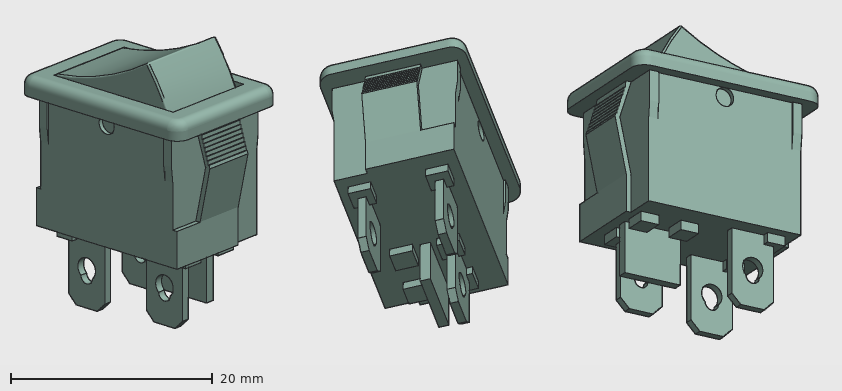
import cadquery as cq

BODY_BOTTOM = 8.0
LEDGE_TOP = 12.0
BEZEL_BOTTOM = 22.0
BEZEL_HEIGHT = 2.0
BEZEL_TOP = BEZEL_BOTTOM + BEZEL_HEIGHT

BEZEL_LENGTH = 21.2
BEZEL_WIDTH = 15.1
BEZEL_CORNER_RADIUS = 1.5
BEZEL_EDGE_RADIUS = 1.02
OPENING_LENGTH = 15.8
OPENING_WIDTH = 10.55
OPENING_DEPTH = 5.0

BODY_LENGTH = 17.48
BODY_WIDTH = 12.58
LEDGE_PROJECTION = 0.55
LEDGE_BACK_Y = 2.85
RIB_LENGTH = 1.05
RIB_HEIGHT = 0.2
RIB_TAPER_TOP = 18.72
RIB_TAPER_BOTTOM = 17.03

CLIP_WIDTH = 2 * LEDGE_BACK_Y
CLIP_THICKNESS = 0.55
CLIP_FOOT_X = BODY_LENGTH / 2 + LEDGE_PROJECTION
CLIP_BEND_X = BEZEL_LENGTH / 2
CLIP_BEND_Z = 18.0
TOOTH_COUNT = 8
TOOTH_PITCH = 0.42
TOOTH_RELIEF = 0.03
TOOTHLESS_TOP = 0.28

ROCKER_WIDTH = 10.2
ROCKER_LOW_X = -7.73
ROCKER_HIGH_X = 7.78
ROCKER_LOW_Z = 24.05
ROCKER_SKIRT_Z = 21.7
PEAK_X = 4.35
PEAK_Z = 28.25
THUMB_RADIUS = 28.2
NOSE_RADIUS = 22.55
ROCKER_EDGE_RADIUS = 0.2
PIVOT_DIAMETER = 2.0
PIVOT_Z = BEZEL_BOTTOM - PIVOT_DIAMETER / 2
PIVOT_RECESS = 0.5

TAB_WIDTH = 4.8
TAB_THICKNESS = 0.87
TAB_CHAMFER = 1.02
LEFT_TAB_X = -4.3
RIGHT_TAB_X = 4.68
OUTER_TAB_Y = 4.0
INNER_TAB_Y = 2.5
EYE_RADIUS = 1.15
EYE_Z = 4.17
EYE_SLOT_RADIUS = 0.75
EYE_SLOT_Z = 3.33
BLADE_X = 4.9
BLADE_WIDTH = 6.37
BLADE_THICKNESS = 1.05
BLADE_BOTTOM = 2.5

FOOT_LENGTH = 2.03
FOOT_WIDTH = 2.35
FOOT_HEIGHT = 1.02
LEFT_FOOT_X = -6.57
RIGHT_FEET_X = (2.45, 7.02)
OUTER_FOOT_Y = 4.0
INNER_FOOT_Y = 2.43


def block(length, width, bottom, top, x=0.0, y=0.0):
    """Upright box centred on (x, y), from the height bottom to the height top."""
    base = cq.Workplane("XY", origin=(x, y, bottom))
    return base.rect(length, width).extrude(top - bottom)


def cross_bar(diameter, length, z):
    """Cylinder along Y, centred on the origin in plan."""
    return cq.Workplane("XZ", origin=(0, 0, z)).circle(diameter / 2).extrude(length / 2, both=True)


def both_ends(solid):
    """The solid together with its mirror image on the opposite X end."""
    return solid.union(solid.mirror("YZ"))


def make_bezel():
    bezel = block(BEZEL_LENGTH, BEZEL_WIDTH, BEZEL_BOTTOM, BEZEL_TOP)
    bezel = bezel.edges("|Z").fillet(BEZEL_CORNER_RADIUS)
    return bezel.faces(">Z").edges().fillet(BEZEL_EDGE_RADIUS)


def make_corner_ribs():
    """Shallow ribs at the four upper corners, tapering into the long walls."""
    wall_y = BODY_WIDTH / 2
    rib = (
        cq.Workplane("YZ", origin=(-BODY_LENGTH / 2, 0, 0))
        .moveTo(0, BEZEL_BOTTOM)
        .lineTo(wall_y + RIB_HEIGHT, BEZEL_BOTTOM)
        .lineTo(wall_y + RIB_HEIGHT, RIB_TAPER_TOP)
        .lineTo(wall_y, RIB_TAPER_BOTTOM)
        .lineTo(0, RIB_TAPER_BOTTOM)
        .close()
        .extrude(RIB_LENGTH)
    )
    return both_ends(rib.union(rib.mirror("XZ")))


def make_housing():
    body = block(BODY_LENGTH, BODY_WIDTH, BODY_BOTTOM, BEZEL_BOTTOM)
    front_y = -BODY_WIDTH / 2
    ledges = block(
        2 * CLIP_FOOT_X,
        LEDGE_BACK_Y - front_y,
        BODY_BOTTOM,
        LEDGE_TOP,
        y=(LEDGE_BACK_Y + front_y) / 2,
    )
    opening = block(OPENING_LENGTH, OPENING_WIDTH, BEZEL_TOP - OPENING_DEPTH, BEZEL_TOP)
    pivot_hole = cross_bar(PIVOT_DIAMETER, BODY_WIDTH, PIVOT_Z)
    walls = body.cut(pivot_hole).union(ledges).union(make_corner_ribs())
    return walls.union(make_bezel()).cut(opening)


def make_clip():
    """Bent spring clip at the -X end, with saw teeth cut into its upper outer face."""
    slope = (CLIP_BEND_X - CLIP_FOOT_X) / (BEZEL_BOTTOM - CLIP_BEND_Z)
    top_x = -CLIP_FOOT_X - slope * TOOTHLESS_TOP
    outline = (
        cq.Workplane("XZ")
        .moveTo(CLIP_THICKNESS - CLIP_FOOT_X, BEZEL_BOTTOM)
        .lineTo(-CLIP_FOOT_X, BEZEL_BOTTOM)
        .lineTo(top_x, BEZEL_BOTTOM - TOOTHLESS_TOP)
    )
    for _ in range(TOOTH_COUNT):
        outline = outline.line(-TOOTH_RELIEF, -TOOTH_PITCH)
        outline = outline.line(TOOTH_RELIEF - slope * TOOTH_PITCH, 0)
    return (
        outline.lineTo(-CLIP_BEND_X, CLIP_BEND_Z)
        .lineTo(-CLIP_FOOT_X, LEDGE_TOP)
        .lineTo(CLIP_THICKNESS - CLIP_FOOT_X, LEDGE_TOP)
        .lineTo(CLIP_THICKNESS - CLIP_BEND_X, CLIP_BEND_Z)
        .close()
        .extrude(CLIP_WIDTH / 2, both=True)
    )


def make_rocker():
    """Tilted rocker with a hollow thumb face and a bulging nose, on its pivot pin."""
    rocker_bottom = PIVOT_Z - PIVOT_DIAMETER / 2
    rocker = (
        cq.Workplane("XZ")
        .moveTo(ROCKER_LOW_X, ROCKER_LOW_Z)
        .radiusArc((PEAK_X, PEAK_Z), -THUMB_RADIUS)
        .radiusArc((ROCKER_HIGH_X, ROCKER_SKIRT_Z), NOSE_RADIUS)
        .lineTo(ROCKER_HIGH_X, rocker_bottom)
        .lineTo(ROCKER_LOW_X, rocker_bottom)
        .close()
        .extrude(ROCKER_WIDTH / 2, both=True)
    )
    rocker = rocker.edges("%CIRCLE or (|Y and >Z)").fillet(ROCKER_EDGE_RADIUS)
    pin = cross_bar(PIVOT_DIAMETER, BODY_WIDTH - 2 * PIVOT_RECESS, PIVOT_Z)
    return rocker.union(pin)


def make_tab(x, y):
    """Flat terminal with a chamfered tip and a keyhole eye."""
    tab = block(TAB_WIDTH, TAB_THICKNESS, 0, BODY_BOTTOM, x, y)
    tab = tab.faces("<Z").edges("|Y").chamfer(TAB_CHAMFER)
    for radius, height in ((EYE_RADIUS, EYE_Z), (EYE_SLOT_RADIUS, EYE_SLOT_Z)):
        eye = cq.Workplane("XZ", origin=(x, y, height)).circle(radius)
        tab = tab.cut(eye.extrude(TAB_THICKNESS, both=True))
    return tab


def make_foot(x, y):
    return block(FOOT_LENGTH, FOOT_WIDTH, BODY_BOTTOM - FOOT_HEIGHT, BODY_BOTTOM, x, y)


def make_feet():
    """Feet beside the terminals, the same on both sides of the centre plane."""
    feet = make_foot(LEFT_FOOT_X, -OUTER_FOOT_Y)
    for x in RIGHT_FEET_X:
        feet = feet.union(make_foot(x, -INNER_FOOT_Y))
    return feet.union(feet.mirror("XZ"))


result = make_housing().union(both_ends(make_clip())).union(make_rocker()).union(make_feet())
for tab_x, tab_y in (
    (LEFT_TAB_X, -OUTER_TAB_Y),
    (LEFT_TAB_X, OUTER_TAB_Y),
    (RIGHT_TAB_X, -INNER_TAB_Y),
):
    result = result.union(make_tab(tab_x, tab_y))
result = result.union(block(BLADE_WIDTH, BLADE_THICKNESS, BLADE_BOTTOM, BODY_BOTTOM, BLADE_X))